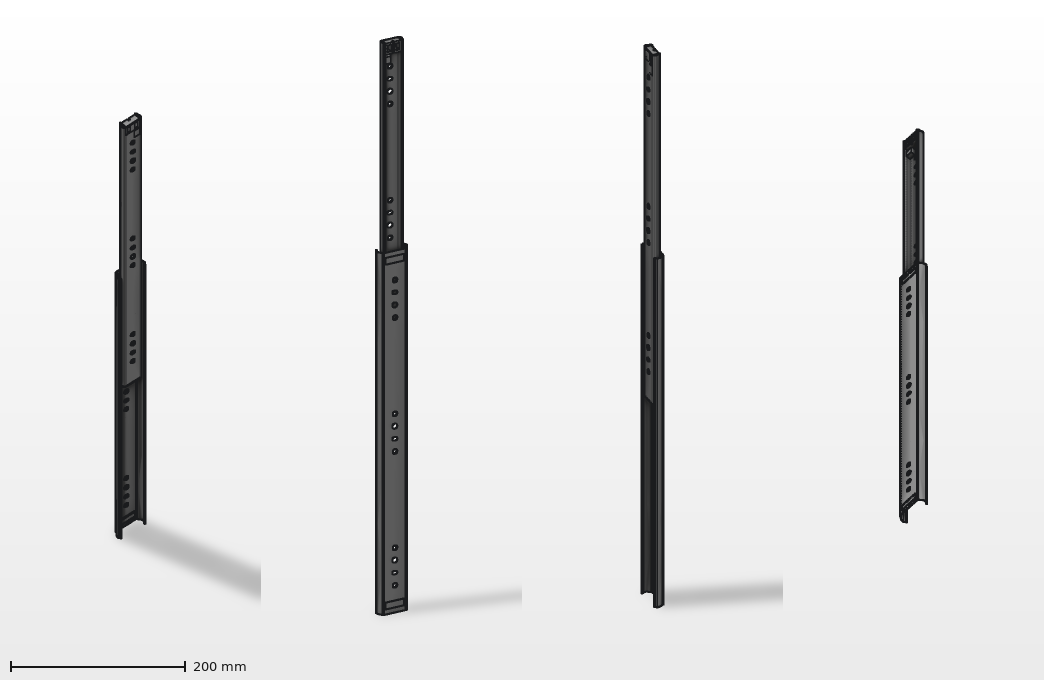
import cadquery as cq
import math

TOTAL_HEIGHT = 722.0
DEPTH = 13.0
OUTER_WIDTH = 40.0
OUTER_LENGTH = 458.5
INNER_LENGTH = 458.5
SHEET = 1.1

WEB_FLAT_WIDTH = 28.0
SHOULDER_WIDTH = 32.5
SHOULDER_SETBACK = 1.0
FLANGE_MIDDLE_X = 4.0
FLANGE_END_X = 10.0
LIP_WIDTH = 36.0
LIP_START_X = 11.9

WEB_WIDTH = 20.0
INNER_FRONT = 2.5
INNER_CORNER = 3.5
RACE_RADIUS = 2.5
RACE_ANGLE = 125
RACE_START_WIDTH = 26.0
FRONT_WIDTH = 23.0

HOLE_DIAMETER = 6.5
SCREW_DIAMETER = 4.0
SINK_DEPTH = 1.0
SLOT_WIDTH = 4.0
HOLES_PER_GROUP = 4
HOLE_PITCH = 16.0
GROUP_PITCH = 170.0
OUTER_SLOTS = (1, 2, 2)
INNER_SLOTS = (1, 1, 2)
OUTER_END_MARGIN = 37.0
INNER_END_MARGIN = 35.0

STOP_WIDTH = 24.0
STOP_HEIGHT = 9.0
STOP_THICKNESS = 1.8
STOP_END_MARGIN = 6.5

BUMPER_WIDTH = WEB_WIDTH
BUMPER_HEIGHT = 14.5
BUMPER_FRONT = 3.5
BUMPER_WINDOW_WIDTH = 4.0
BUMPER_WINDOW_HEIGHT = 9.0
BUMPER_WINDOW_OFFSET = 5.4
BUMPER_GROOVE_WIDTH = 2.0
BUMPER_GROOVE_DEPTH = 2.0

LEVER_TOP = 706.0
LEVER_HEIGHT = 11.5
LEVER_EDGE = WEB_WIDTH / 2
LEVER_LENGTH = 8.0
LEVER_FRONT = 6.0
LEVER_BEVEL = 3.0

INNER_BOTTOM = TOTAL_HEIGHT - INNER_LENGTH
WEB_BACK = DEPTH - SHEET
STOP_BOTTOMS = (STOP_END_MARGIN, OUTER_LENGTH - STOP_END_MARGIN - STOP_HEIGHT)


def box(x_range, y_range, z_range):
    """Box between the given limits."""
    sizes = [high - low for low, high in (x_range, y_range, z_range)]
    return cq.Workplane("XY").box(*sizes, centered=False).translate((x_range[0], y_range[0], z_range[0]))


def on_circle(center, radius, angle):
    """Point of a circle at an angle in radians from +X."""
    return (center[0] + radius * math.cos(angle), center[1] + radius * math.sin(angle))


def left_of_circle(center, radius, y):
    """Left-hand point of a circle at the given Y."""
    return (center[0] - math.sqrt(radius**2 - (y - center[1]) ** 2), y)


def outer_half_section():
    """Half of the outer rail's section: web, shoulder swept out to the flange, and stepped-in lip."""
    shoulder = SHOULDER_WIDTH / 2
    edge = OUTER_WIDTH / 2
    lip = LIP_WIDTH / 2
    middle = (shoulder + edge) / 2
    outside_sweep = [(FLANGE_MIDDLE_X, middle), (FLANGE_END_X, edge)]
    inside_end_x = FLANGE_END_X - SHEET / 2
    inside_shoulder = (SHOULDER_SETBACK + SHEET, shoulder - SHEET)
    inside_sweep = [(FLANGE_MIDDLE_X + SHEET / 2, middle - SHEET), inside_shoulder]
    along = (1, 0)
    back = (-1, 0)

    path = cq.Workplane("XY").lineTo(0, WEB_FLAT_WIDTH / 2).lineTo(SHOULDER_SETBACK, shoulder)
    path = path.spline(outside_sweep, tangents=[along, along], includeCurrent=True)
    path = path.lineTo(LIP_START_X, lip).lineTo(DEPTH, lip)
    path = path.lineTo(DEPTH, lip - SHEET).lineTo(LIP_START_X - SHEET / 2, lip - SHEET)
    path = path.lineTo(inside_end_x, edge - SHEET)
    path = path.spline(inside_sweep, tangents=[back, back], includeCurrent=True)
    return path.lineTo(SHEET, WEB_FLAT_WIDTH / 2).lineTo(SHEET, 0).close()


def inner_half_section():
    """Half of the inner rail's section: rear web, round corner, tangent ball race and inturned front."""
    angle = math.radians(RACE_ANGLE)
    corner_center = (DEPTH - INNER_CORNER, WEB_WIDTH / 2)
    race_center = on_circle(corner_center, INNER_CORNER + RACE_RADIUS, angle)
    inside_corner = INNER_CORNER - SHEET
    inside_race = RACE_RADIUS + SHEET
    race_start = RACE_START_WIDTH / 2
    front = FRONT_WIDTH / 2

    path = cq.Workplane("XY").moveTo(DEPTH, 0).lineTo(DEPTH, corner_center[1])
    path = path.threePointArc(
        on_circle(corner_center, INNER_CORNER, angle / 2),
        on_circle(corner_center, INNER_CORNER, angle),
    )
    path = path.threePointArc(
        (race_center[0], race_center[1] - RACE_RADIUS),
        left_of_circle(race_center, RACE_RADIUS, race_start),
    )
    path = path.lineTo(INNER_FRONT, front).lineTo(INNER_FRONT, front - SHEET)
    path = path.lineTo(*left_of_circle(race_center, inside_race, race_start - SHEET))
    path = path.threePointArc(
        (race_center[0], race_center[1] - inside_race),
        on_circle(corner_center, inside_corner, angle),
    )
    path = path.threePointArc(
        on_circle(corner_center, inside_corner, angle / 2),
        (WEB_BACK, corner_center[1]),
    )
    return path.lineTo(WEB_BACK, 0).close()


def rail_blank(half_section, bottom, length):
    """Rail extruded from a half section and its mirror image."""
    half = half_section.extrude(length)
    return half.union(half.mirror("XZ")).clean().translate((0, 0, bottom))


def screw_hole(web_front, z):
    """Cutter for a countersunk screw hole through a web."""
    hole_radius = HOLE_DIAMETER / 2
    screw_radius = SCREW_DIAMETER / 2
    sink = cq.Solid.makeCone(
        hole_radius, screw_radius, SINK_DEPTH, cq.Vector(web_front, 0, z), cq.Vector(1, 0, 0)
    )
    hole = cq.Workplane("YZ", origin=(web_front, 0, z)).circle(screw_radius).extrude(SHEET)
    return hole.union(cq.Workplane(sink))


def drill_mounting_holes(rail, web_front, top_hole, slot_places):
    """Cut the hole groups: screw holes at both ends, and a round hole and a slot between them."""
    end_places = (0, HOLES_PER_GROUP - 1)
    for group, slot_place in enumerate(slot_places):
        for place in range(HOLES_PER_GROUP):
            z = top_hole - group * GROUP_PITCH - place * HOLE_PITCH
            spot = cq.Workplane("YZ", origin=(web_front, 0, z))
            if place in end_places:
                cutter = screw_hole(web_front, z)
            elif place == slot_place:
                cutter = spot.slot2D(HOLE_DIAMETER, SLOT_WIDTH).extrude(SHEET)
            else:
                cutter = spot.circle(HOLE_DIAMETER / 2).extrude(SHEET)
            rail = rail.cut(cutter)
    return rail


def end_stop(bottom, thickness):
    """Rectangular stop whose front is flush with the outer rail's web."""
    half = STOP_WIDTH / 2
    return box((0, thickness), (-half, half), (bottom, bottom + STOP_HEIGHT))


def make_outer_rail():
    """Rail with its web at the front, two stop windows and the mounting holes."""
    rail = rail_blank(outer_half_section(), 0, OUTER_LENGTH)
    for bottom in STOP_BOTTOMS:
        rail = rail.cut(end_stop(bottom, SHEET))
    return drill_mounting_holes(rail, 0, OUTER_LENGTH - OUTER_END_MARGIN, OUTER_SLOTS)


def make_inner_rail():
    """Rail with its web at the back and the mounting holes."""
    rail = rail_blank(inner_half_section(), INNER_BOTTOM, INNER_LENGTH)
    return drill_mounting_holes(rail, WEB_BACK, TOTAL_HEIGHT - INNER_END_MARGIN, INNER_SLOTS)


def make_bumper():
    """Block on the inner web with two windows and a groove in its front."""
    half = BUMPER_WIDTH / 2
    depth = (BUMPER_FRONT, WEB_BACK)
    bottom = TOTAL_HEIGHT - BUMPER_HEIGHT
    bumper = box(depth, (-half, half), (bottom, TOTAL_HEIGHT))
    window_bottom = bottom + (BUMPER_HEIGHT - BUMPER_WINDOW_HEIGHT) / 2
    for y in (-BUMPER_WINDOW_OFFSET, BUMPER_WINDOW_OFFSET):
        sides = (y - BUMPER_WINDOW_WIDTH / 2, y + BUMPER_WINDOW_WIDTH / 2)
        bumper = bumper.cut(box(depth, sides, (window_bottom, window_bottom + BUMPER_WINDOW_HEIGHT)))
    groove_half = BUMPER_GROOVE_WIDTH / 2
    groove_depth = (BUMPER_FRONT, BUMPER_FRONT + BUMPER_GROOVE_DEPTH)
    return bumper.cut(box(groove_depth, (-groove_half, groove_half), (bottom, TOTAL_HEIGHT)))


def make_lever():
    """Small bevelled block on the inner web, beside the +Y flange."""
    lever = box(
        (LEVER_FRONT, WEB_BACK),
        (LEVER_EDGE - LEVER_LENGTH, LEVER_EDGE),
        (LEVER_TOP - LEVER_HEIGHT, LEVER_TOP),
    )
    return lever.faces("<X").edges(">Z").chamfer(LEVER_BEVEL)


outer_rail = make_outer_rail()
inner_rail = make_inner_rail()
bumper = make_bumper()
lever = make_lever()
stops = [end_stop(bottom, STOP_THICKNESS) for bottom in STOP_BOTTOMS]

result = cq.Compound.makeCompound(
    [outer_rail.val(), inner_rail.val(), bumper.val(), lever.val(), *[stop.val() for stop in stops]]
)